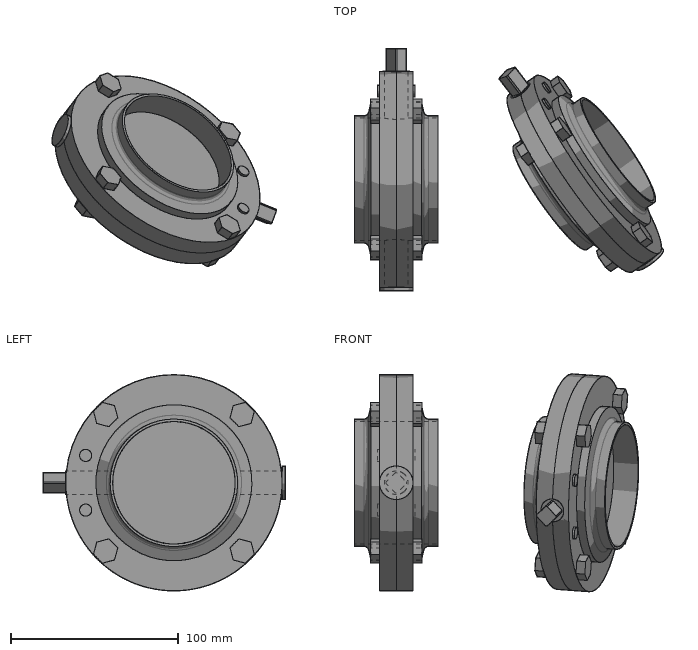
import cadquery as cq
import math


overall_length = 50.0
flange_diameter = 129.0
flange_half_width = 10.0
bore_diameter = 73.0

ring_diameter = 93.0
ring_face_x = 15.0
cone_angle = math.radians(13)
neck_fillet = 3.0
tube_diameter = 76.0

bolt_spacing = 81.4
head_across_flats = 13.0
head_height = 5.5
square_corner_angles = (45, 135, 225, 315)

pin_diameter = 7.2
pin_height = 1.25
pin_y = 52.6
pin_spacing = 32.6

disc_thickness = 2 * flange_half_width
shaft_diameter = 14.0
cap_diameter = 2 * flange_half_width
cap_thickness = 2.0
square_across_flats = 9.25
square_corner_diameter = 12.0
square_length = 13.5

tube_end_x = overall_length / 2
flange_radius = flange_diameter / 2
ring_radius = ring_diameter / 2
tube_radius = tube_diameter / 2
bore_radius = bore_diameter / 2
bolt_circle_radius = bolt_spacing / math.sqrt(2)
head_corner_diameter = head_across_flats / math.cos(math.radians(30))
hexagon_flat_angle = 30


def y_cylinder(diameter, y_start, y_end):
    """Cylinder on the shaft axis between two Y positions."""
    return (
        cq.Workplane("XZ", origin=(0, y_start, 0))
        .circle(diameter / 2)
        .extrude(y_start - y_end)
    )


def flange_and_neck():
    """Revolve the section of one half about the X axis."""
    cone_end_radius = tube_radius + neck_fillet * (1 - math.sin(cone_angle))
    cone_end_x = ring_face_x + (ring_radius - cone_end_radius) * math.tan(cone_angle)
    tube_start_x = cone_end_x + neck_fillet * math.cos(cone_angle)
    return (
        cq.Workplane("XZ")
        .moveTo(0, bore_radius)
        .lineTo(0, flange_radius)
        .lineTo(flange_half_width, flange_radius)
        .lineTo(flange_half_width, ring_radius)
        .lineTo(ring_face_x, ring_radius)
        .lineTo(cone_end_x, cone_end_radius)
        .radiusArc((tube_start_x, tube_radius), -neck_fillet)
        .lineTo(tube_end_x, tube_radius)
        .lineTo(tube_end_x, bore_radius)
        .close()
        .revolve(360, (0, 0, 0), (1, 0, 0))
    )


def bolt_head(corner_angle):
    """Bolt head on the flange face with one flat facing outward."""
    return (
        cq.Workplane("YZ", origin=(flange_half_width, 0, 0))
        .transformed(rotate=(0, 0, corner_angle))
        .center(bolt_circle_radius, 0)
        .transformed(rotate=(0, 0, hexagon_flat_angle))
        .polygon(6, head_corner_diameter)
        .extrude(head_height)
    )


def pin_heads():
    return (
        cq.Workplane("YZ", origin=(flange_half_width, pin_y, 0))
        .pushPoints([(0, -pin_spacing / 2), (0, pin_spacing / 2)])
        .circle(pin_diameter / 2)
        .extrude(pin_height)
    )


def body_half():
    """Half of the body on the +X side, with its heads and its half of the shaft hole."""
    half = flange_and_neck()
    for corner_angle in square_corner_angles:
        half = half.union(bolt_head(corner_angle))
    half = half.union(pin_heads())
    return half.cut(y_cylinder(shaft_diameter, -flange_radius, flange_radius))


def drive_square():
    """Square standing on its corner, with the corners rounded to a circle."""
    return (
        cq.Workplane("XZ", origin=(0, flange_radius, 0))
        .transformed(rotate=(0, 0, 45))
        .rect(square_across_flats, square_across_flats)
        .extrude(-square_length)
        .intersect(y_cylinder(square_corner_diameter, flange_radius, flange_radius + square_length))
    )


def disc_and_shaft():
    """Disc filling the bore, on a shaft with an end cap at -Y and a drive square at +Y."""
    disc = cq.Workplane("YZ").circle(bore_radius).extrude(disc_thickness / 2, both=True)
    shaft = y_cylinder(shaft_diameter, -flange_radius, flange_radius)
    cap = y_cylinder(cap_diameter, -flange_radius - cap_thickness, -flange_radius)
    return disc.union(shaft).union(cap).union(drive_square())


right_half = body_half()
left_half = right_half.mirror("YZ")
disc_shaft = disc_and_shaft()

result = cq.Compound.makeCompound([left_half.val(), right_half.val(), disc_shaft.val()])